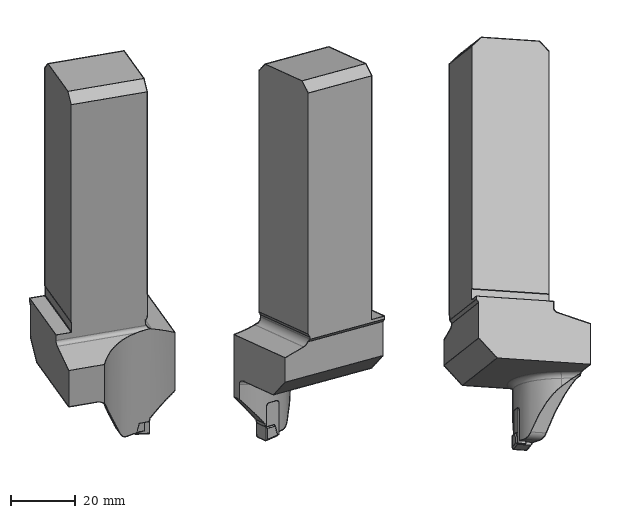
import cadquery as cq
import math

total_height = 124.0
width = 36.8
depth = 38.3

shank_size = 24.9
shank_front = 5.0
shank_back = shank_front + shank_size
shank_chamfer = 3.1
relief_depth = 0.1
relief_top = 43.9

head_bottom = 21.2
ledge_height = 40.4
head_left = 0.7
left_step_top = 39.4
left_step_bottom = 38.5
head_chamfer = 6.0
shoulder_slope = math.tan(math.radians(15))
side_shoulder_low = 34.1
back_shoulder_low = 35.2
side_shoulder_fillet = 1.5
back_shoulder_fillet = 2.5
neck_depth = 0.6
neck_back = shank_back - neck_depth
neck_top = 40.2
neck_slope_top = 41.3

bore_radius = 22.1
bore_x = 47.5
bore_y = 31.0

blade_radius = 16.4
blade_left = 20.8
blade_x = blade_left + blade_radius
blade_y = 28.8
blade_tangent_angle = math.radians(21)
blade_bottom = 1.6
blade_front_top = 11.4
blade_front_bottom = 20.8
blade_back_low = 14.6
blade_tip_back = 30.6
blade_tip_height = 5.7
blade_corner_radius = 3.1
wall_root_fillet = 1.7
front_root_fillet = 3.7
root_slab = 1.2

pad_front = 25.2
pad_back = 30.0
pad_bottom = 0.9
pad_top = 12.3
pad_corner = 1.0
pad_thickness = 2.5

insert_left = 20.3
insert_right = 25.5
insert_rake = 30.4
insert_height = 4.6
insert_top_front = 27.0
insert_bottom_front = 25.9
insert_bottom_rise = 0.6
insert_corner = 0.5
insert_bevel = 0.4


def extrude_x(points, x_start, x_end):
    """Prism along +X from a closed (Y, Z) outline."""
    return cq.Workplane("YZ", origin=(x_start, 0, 0)).polyline(points).close().extrude(x_end - x_start)


def edge_at(body, direction, *point):
    """Edge parallel to an axis that lies nearest to a point."""
    return body.edges(f"|{direction}").edges(cq.selectors.NearestToPointSelector(point))


def make_shank_and_head():
    """Common volume of the outline along Y and the outline along X."""
    side_shoulder_high = side_shoulder_low + (width - shank_size) * shoulder_slope
    front_outline = [
        (0, total_height - shank_chamfer),
        (shank_chamfer, total_height),
        (shank_size - shank_chamfer, total_height),
        (shank_size, total_height - shank_chamfer),
        (shank_size, side_shoulder_high),
        (width, side_shoulder_low),
        (width, head_bottom),
        (head_left + head_chamfer, head_bottom),
        (head_left, head_bottom + head_chamfer),
        (head_left, left_step_bottom),
        (0, left_step_top),
    ]
    along_y = cq.Workplane("XZ").polyline(front_outline).close().extrude(-depth)
    along_y = edge_at(along_y, "Y", shank_size, depth / 2, side_shoulder_high).fillet(side_shoulder_fillet)

    back_shoulder_high = back_shoulder_low + (depth - neck_back) * shoulder_slope
    side_outline = [
        (0, head_bottom),
        (0, ledge_height),
        (shank_front, ledge_height),
        (shank_front + relief_depth, ledge_height + relief_depth),
        (shank_front + relief_depth, relief_top - relief_depth),
        (shank_front, relief_top),
        (shank_front, total_height),
        (shank_back, total_height),
        (shank_back, neck_slope_top),
        (neck_back, neck_top),
        (neck_back, back_shoulder_high),
        (depth, back_shoulder_low),
        (depth, head_bottom),
    ]
    along_x = extrude_x(side_outline, 0, width)
    along_x = edge_at(along_x, "X", width / 2, neck_back, back_shoulder_high).fillet(back_shoulder_fillet)
    return along_y.intersect(along_x)


def make_blade_wall():
    """Curved wall running out along its tangent, flared into a slab that lies inside the head."""
    tangent_x = blade_x - blade_radius * math.sin(blade_tangent_angle)
    tangent_y = blade_y - blade_radius * math.cos(blade_tangent_angle)
    run_out = width + root_slab - tangent_x
    wall_back = depth + root_slab
    wall_back_x = blade_x - math.sqrt(blade_radius**2 - (wall_back - blade_y) ** 2)
    wall = (
        cq.Workplane("XY")
        .moveTo(wall_back_x, wall_back)
        .threePointArc((blade_left, blade_y), (tangent_x, tangent_y))
        .lineTo(tangent_x + run_out, tangent_y - run_out * math.tan(blade_tangent_angle))
        .lineTo(tangent_x + run_out, wall_back)
        .close()
        .extrude(head_bottom)
    )
    slab = (
        cq.Workplane("XY", origin=(blade_left - blade_radius / 2, 0, head_bottom))
        .rect(width, wall_back, centered=False)
        .extrude(root_slab)
    )
    body = wall.union(slab)
    wall_point = (blade_left, blade_y, head_bottom)
    return body.edges(cq.selectors.NearestToPointSelector(wall_point)).fillet(wall_root_fillet)


def make_blade():
    """Flared wall trimmed to the tapering side profile."""
    profile = extrude_x(
        [
            (0, head_bottom + root_slab),
            (0, head_bottom),
            (blade_front_top, head_bottom),
            (blade_front_bottom, blade_bottom),
            (insert_rake, blade_bottom),
            (insert_rake, insert_height),
            (blade_tip_back, blade_tip_height),
            (depth, blade_back_low),
            (depth, head_bottom + root_slab),
        ],
        0,
        width,
    )
    profile = edge_at(profile, "X", width / 2, blade_front_bottom, blade_bottom).fillet(blade_corner_radius)
    profile = edge_at(profile, "X", width / 2, blade_front_top, head_bottom).fillet(front_root_fillet)
    return make_blade_wall().intersect(profile)


def make_pad():
    """Flat backing pad with rounded upper corners."""
    pad = (
        cq.Workplane("XY")
        .box(pad_thickness, pad_back - pad_front, pad_top - pad_bottom, centered=False)
        .translate((blade_left, pad_front, pad_bottom))
    )
    return pad.edges("|X and >Z").fillet(pad_corner)


def make_insert():
    """Wedge-sided insert with its rake face toward +Y."""
    insert = extrude_x(
        [
            (insert_rake, 0),
            (insert_rake, insert_height),
            (insert_top_front, insert_height),
            (insert_bottom_front, insert_bottom_rise),
        ],
        insert_left,
        insert_right,
    )
    lower_edges = insert.faces("<Z").edges("not |X").edges("<X or >X")
    insert = lower_edges.chamfer(insert_corner)
    return insert.faces("<X").edges(">Y or >Z").chamfer(insert_bevel)


bore = cq.Workplane("XY", origin=(bore_x, bore_y, 0)).circle(bore_radius).extrude(total_height)
insert = make_insert()
holder = make_shank_and_head().union(make_blade())
holder = holder.cut(bore).union(make_pad()).cut(insert)

result = cq.Compound.makeCompound([holder.val(), insert.val()])